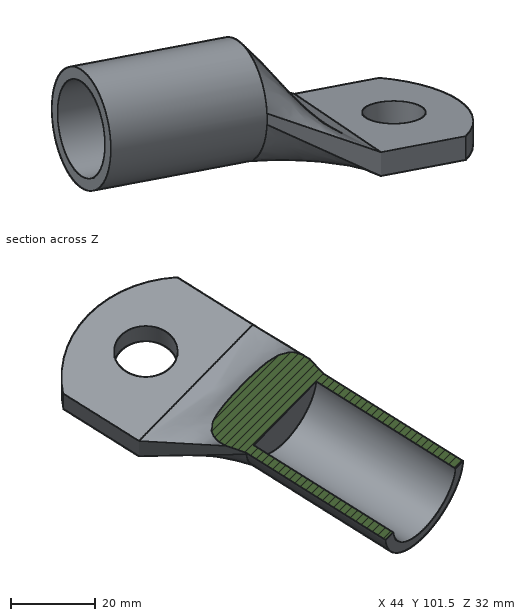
import cadquery as cq
import math

total_length = 101.5
palm_width = 44.0
total_height = 32.0

tube_diameter = 30.0
bore_diameter = 24.1
tube_length = 42.0
tube_radius = tube_diameter / 2
tube_axis_z = total_height - tube_radius

palm_length = 32.6
palm_thickness = 6.1
tip_height = 9.7
hole_diameter = 15.1
hole_to_tip = 17.5
half_width = palm_width / 2
palm_start = total_length - palm_length

transition_length = palm_start - tube_length
side_edge_height = 2.8
section_count = 7
points_per_edge = 13
side_angle = math.asin(side_edge_height / 2 / tube_radius)


def make_palm():
    shoulder_y = total_length - tip_height
    return (
        cq.Workplane("XY")
        .moveTo(-half_width, palm_start)
        .lineTo(half_width, palm_start)
        .lineTo(half_width, shoulder_y)
        .threePointArc((0, total_length), (-half_width, shoulder_y))
        .close()
        .extrude(palm_thickness)
        .faces(">Z")
        .workplane(origin=(0, total_length - hole_to_tip, palm_thickness))
        .hole(hole_diameter)
    )


def make_tube():
    return cq.Workplane("XZ").center(0, tube_axis_z).circle(tube_radius).extrude(-tube_length)


def make_bore():
    return cq.Workplane("XZ").center(0, tube_axis_z).circle(bore_diameter / 2).extrude(-tube_length)


def edge_points(progress, is_top):
    """Upper or lower edge of a section; progress runs from 0 at the tube to 1 at the palm.

    The ends follow straight lines, while the middle runs out tangent to the palm.
    """
    eased = progress + progress**2 - progress**3
    side = 1 if is_top else -1
    palm_z = palm_thickness if is_top else 0
    y = tube_length + progress * transition_length
    points = []
    for i in range(points_per_edge):
        across = i / (points_per_edge - 1)
        angle = side_angle + across * (math.pi - 2 * side_angle)
        tube_x = tube_radius * math.cos(angle)
        tube_z = tube_axis_z + side * tube_radius * math.sin(angle)
        palm_x = half_width * (1 - 2 * across)
        easing = math.sin(math.pi * across)
        blend = progress + easing * (eased - progress)
        x = tube_x + progress * (palm_x - tube_x)
        z = tube_z + blend * (palm_z - tube_z)
        points.append(cq.Vector(x, y, z))
    return points


def section_wire(progress):
    top = edge_points(progress, True)
    bottom = edge_points(progress, False)
    return cq.Wire.assembleEdges([
        cq.Edge.makeSpline(top),
        cq.Edge.makeLine(top[-1], bottom[-1]),
        cq.Edge.makeSpline(bottom[::-1]),
        cq.Edge.makeLine(bottom[0], top[0]),
    ])


def make_transition():
    sections = [section_wire(i / (section_count - 1)) for i in range(section_count)]
    return cq.Workplane(cq.Solid.makeLoft(sections))


result = make_tube().union(make_transition()).union(make_palm()).cut(make_bore())